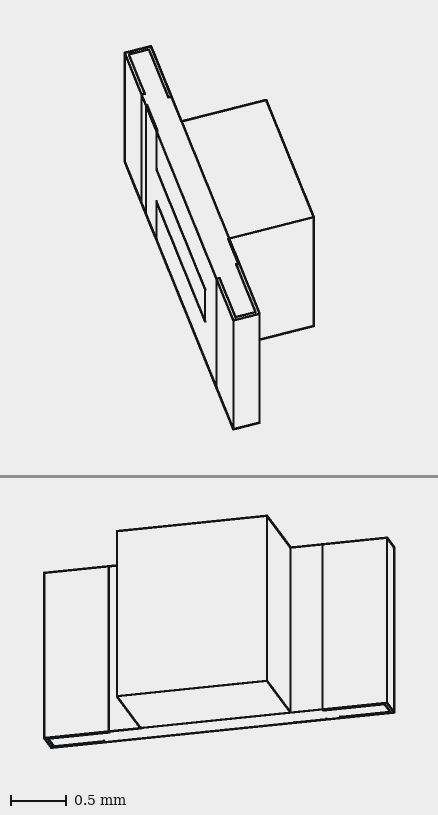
import cadquery as cq

BOARD_LENGTH = 3.2
BOARD_THICKNESS = 0.25
BOARD_HEIGHT = 1.6

LENS_LENGTH = 1.4
LENS_DEPTH = 0.8

PLATING = 0.03
TERMINAL_FRONT_LENGTH = 0.5
TERMINAL_BACK_LENGTH = 0.6

FILM_THICKNESS = 0.01
MARK_START = 0.63
MARK_BAR_LENGTH = 0.3
MARK_STEM_LENGTH = 1.44
MARK_STEM_WIDTH = 0.475

HALF_LENGTH = BOARD_LENGTH / 2


def block(x_start, x_end, y_start, y_end, height=BOARD_HEIGHT):
    """Box between the given X and Y limits, centred on Z = 0."""
    return (
        cq.Workplane("XY")
        .box(x_end - x_start, y_end - y_start, height, centered=(False, False, True))
        .translate((x_start, y_start, 0))
    )


def make_terminal(side):
    """C-shaped plating around the board end at -X (side = -1) or +X (side = 1)."""
    end = side * HALF_LENGTH
    inner_end = side * (HALF_LENGTH - PLATING)
    front_edge = side * (HALF_LENGTH - TERMINAL_FRONT_LENGTH)
    back_edge = side * (HALF_LENGTH - TERMINAL_BACK_LENGTH)
    outline = [
        (front_edge, 0),
        (end, 0),
        (end, BOARD_THICKNESS),
        (back_edge, BOARD_THICKNESS),
        (back_edge, BOARD_THICKNESS - PLATING),
        (inner_end, BOARD_THICKNESS - PLATING),
        (inner_end, PLATING),
        (front_edge, PLATING),
    ]
    return cq.Workplane("XY").polyline(outline).close().extrude(BOARD_HEIGHT / 2, both=True)


def make_polarity_mark():
    """T-shaped film in the front face: a full-height crossbar and a stem toward +X."""
    bar_start = MARK_START - HALF_LENGTH
    bar_end = bar_start + MARK_BAR_LENGTH
    stem_end = bar_end + MARK_STEM_LENGTH
    bar = block(bar_start, bar_end, 0, FILM_THICKNESS)
    stem = block(bar_end, stem_end, 0, FILM_THICKNESS, MARK_STEM_WIDTH)
    return bar.union(stem)


def make_back_film():
    """Film in the back face, filling the gap from the lens to the +X terminal."""
    film_end = HALF_LENGTH - TERMINAL_BACK_LENGTH
    return block(LENS_LENGTH / 2, film_end, BOARD_THICKNESS - FILM_THICKNESS, BOARD_THICKNESS)


def make_lens():
    """Plain block on the back face of the board."""
    return block(-LENS_LENGTH / 2, LENS_LENGTH / 2, BOARD_THICKNESS, BOARD_THICKNESS + LENS_DEPTH)


def make_board(inset_bodies):
    """Plate with a matching recess for every body set into it."""
    board = block(-HALF_LENGTH, HALF_LENGTH, 0, BOARD_THICKNESS)
    for body in inset_bodies:
        board = board.cut(body)
    return board


terminals = [make_terminal(side) for side in (-1, 1)]
polarity_mark = make_polarity_mark()
back_film = make_back_film()
lens = make_lens()
board = make_board([*terminals, polarity_mark, back_film])

result = cq.Compound.makeCompound([
    board.val(),
    *[terminal.val() for terminal in terminals],
    polarity_mark.val(),
    back_film.val(),
    lens.val(),
])